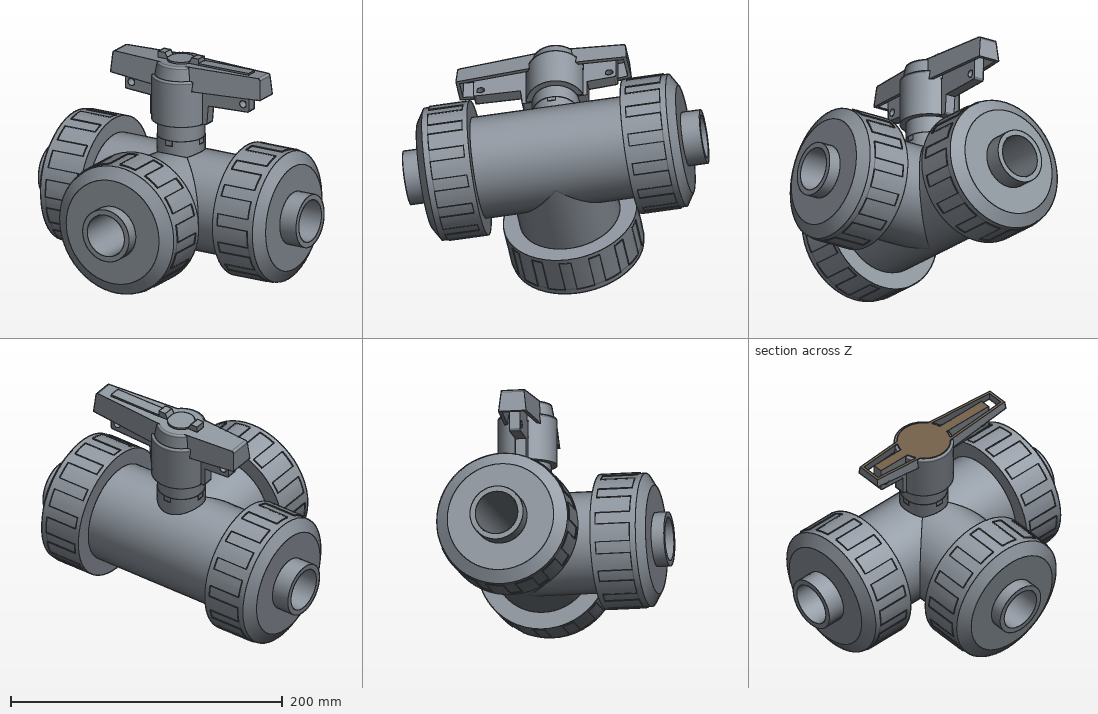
import cadquery as cq
import math

OVERLAP = 2.2

PIPE_RADIUS = 37.5
BORE_RADIUS = 16.0
TAIL_RADIUS = 20.0
RUN_REACH = 111.0
BRANCH_REACH = 106.5

NUT_RADIUS = 50.0
NUT_INNER_END = 57.3
NUT_OUTER_END = 97.0
NUT_FACE_RADIUS = 40.0
NUT_CHAMFER_LENGTH = 5.8
GROOVE_DEPTH = 0.78
GROOVE_START = 61.0
RIB_END = 86.8
RIB_COUNT = 14
RIB_PITCH = 360 / RIB_COUNT
RIB_ANGLE = 0.6 * RIB_PITCH

STEM_RADIUS = 17.5
STEM_TOP = 78.0
NECK_RADIUS = 17.8
NECK_TOP = 47.7
NOTCH_WIDTH = 5.8
NOTCH_HEIGHT = 4.0
NOTCH_DEPTH = 0.5

HUB_RADIUS = 43.7 / 2
HUB_BOTTOM = 60.4
HUB_TOP = 95.2
HUB_FILLET = 1.5
CAP_BASE_RADIUS = 19.8
CAP_TOP_RADIUS = 17.8
SLOT_WIDTH = 10.0

GRIP_TOP = 105.7
GRIP_END_BOTTOM = 89.5
GRIP_HUB_BOTTOM = 87.7
GRIP_LEFT = 54.8
GRIP_RIGHT = 73.3
GRIP_HALF_WIDTH = 14.9
GRIP_NARROWING = 0.078
GRIP_SIDE_DRAFT = 7.0
GRIP_END_DRAFT = 4.0
GRIP_WALL = 2.5
UNDERSIDE_BREAK = 17.3
TOP_FILLET = 1.8

WEB_THICKNESS = 8.0
WEB_LEFT = 45.7
WEB_RIGHT = 60.5
WEB_END_BOTTOM = 76.5
WEB_STEP_BOTTOM = 75.3
WEB_FOOT_LEFT = 24.2
WEB_FOOT_RIGHT = 24.5
WEB_STEP_RIGHT = 25.8
WEB_FILLET = 1.3
HOLE_RADIUS = 5.5 / 2
HOLE_HEIGHT = 82.1
HOLE_END_DISTANCE = 5.0

DISC_RADIUS = 10.2
MARK_HEIGHT = 1.3
MARK_WIDTH = 8.7
LUG_WIDTH = 8.2
LUG_TOP = 110.3
LUG_OUTER = 17.3
LUG_INNER_TOP = 11.5
LUG_INNER_BASE = 8.9


def vertical_cylinder(radius, bottom, top):
    return cq.Workplane("XY").workplane(offset=bottom).circle(radius).extrude(top - bottom)


def along_minus_x(radius, start, end):
    return cq.Workplane("YZ").workplane(offset=-end).circle(radius).extrude(end - start)


def side_profile(points, width):
    return cq.Workplane("XZ").polyline(points).close().extrude(width / 2, both=True)


def make_groove():
    """Sector cutter for the first groove after the rib that starts at +Z and leans to -Y."""
    middle = math.radians(RIB_ANGLE + (RIB_PITCH - RIB_ANGLE) / 2)
    half = math.radians((RIB_PITCH - RIB_ANGLE) / 2)
    floor = NUT_RADIUS - GROOVE_DEPTH
    rim = NUT_RADIUS + OVERLAP

    def at(radius, angle):
        return (-radius * math.sin(angle), radius * math.cos(angle))

    return (
        cq.Workplane("YZ")
        .workplane(offset=-RIB_END)
        .moveTo(*at(floor, middle - half))
        .threePointArc(at(floor, middle), at(floor, middle + half))
        .lineTo(*at(rim, middle + half))
        .threePointArc(at(rim, middle), at(rim, middle - half))
        .close()
        .extrude(RIB_END - GROOVE_START)
    )


def make_nut():
    land_radius = NUT_RADIUS - GROOVE_DEPTH
    chamfer_start = NUT_OUTER_END - NUT_CHAMFER_LENGTH
    profile = [
        (-NUT_INNER_END, 0),
        (-NUT_INNER_END, NUT_RADIUS),
        (-RIB_END, NUT_RADIUS),
        (-RIB_END, land_radius),
        (-chamfer_start, land_radius),
        (-NUT_OUTER_END, NUT_FACE_RADIUS),
        (-NUT_OUTER_END, 0),
    ]
    nut = cq.Workplane("XY").polyline(profile).close().revolve(360, (0, 0, 0), (1, 0, 0))
    groove = make_groove()
    for index in range(RIB_COUNT):
        nut = nut.cut(groove.rotate((0, 0, 0), (1, 0, 0), index * RIB_PITCH))
    return nut


def make_body():
    nut = make_nut()
    body = vertical_cylinder(NECK_RADIUS, 0, NECK_TOP)
    ports = [(0, RUN_REACH), (90, BRANCH_REACH), (180, RUN_REACH)]
    for turn, reach in ports:
        port = along_minus_x(PIPE_RADIUS, 0, NUT_INNER_END + OVERLAP)
        port = port.union(nut).union(along_minus_x(TAIL_RADIUS, NUT_INNER_END, reach))
        body = body.union(port.rotate((0, 0, 0), (0, 0, 1), turn))
    for turn, reach in ports:
        bore = along_minus_x(BORE_RADIUS, 0, reach)
        body = body.cut(bore.rotate((0, 0, 0), (0, 0, 1), turn))
    notch = cq.Workplane("XY").box(2 * NOTCH_DEPTH, NOTCH_WIDTH, NOTCH_HEIGHT)
    notch = notch.translate((-NECK_RADIUS, 0, NECK_TOP - NOTCH_HEIGHT / 2))
    for turn in range(0, 360, 90):
        body = body.cut(notch.rotate((0, 0, 0), (0, 0, 1), turn))
    return body


def grip_outline(side_inset, end_inset):
    """Corners of the grip outline, moved in across its width and along its length."""
    left = GRIP_LEFT - end_inset
    right = GRIP_RIGHT - end_inset
    middle_half = GRIP_HALF_WIDTH - side_inset
    left_half = middle_half - GRIP_NARROWING * left
    right_half = middle_half - GRIP_NARROWING * right
    return [
        (-left, -left_half),
        (0, -middle_half),
        (right, -right_half),
        (right, right_half),
        (0, middle_half),
        (-left, left_half),
    ]


def make_grip_block(inset, top):
    """Drafted block of the grip outline, moved in by the inset on every side."""
    height = top - GRIP_HUB_BOTTOM
    side_lean = height * math.tan(math.radians(GRIP_SIDE_DRAFT))
    end_lean = height * math.tan(math.radians(GRIP_END_DRAFT))
    return (
        cq.Workplane("XY")
        .workplane(offset=GRIP_HUB_BOTTOM)
        .polyline(grip_outline(inset, inset))
        .close()
        .workplane(offset=height)
        .polyline(grip_outline(inset + side_lean, inset + end_lean))
        .close()
        .loft(ruled=True)
    )


def make_grip():
    grip = make_grip_block(0, GRIP_TOP).faces(">Z").edges("|Y").fillet(TOP_FILLET)
    grip = grip.cut(make_grip_block(GRIP_WALL, GRIP_TOP - GRIP_WALL))
    for end in (-GRIP_LEFT, GRIP_RIGHT):
        hub_edge = math.copysign(UNDERSIDE_BREAK, end)
        wedge = [(hub_edge, GRIP_HUB_BOTTOM), (end, GRIP_END_BOTTOM), (end, GRIP_HUB_BOTTOM)]
        grip = grip.cut(side_profile(wedge, 2 * HUB_RADIUS))
    return grip


def make_cap():
    cap = (
        cq.Workplane("XY")
        .workplane(offset=HUB_TOP)
        .circle(CAP_BASE_RADIUS)
        .workplane(offset=GRIP_TOP - HUB_TOP)
        .circle(CAP_TOP_RADIUS)
        .loft()
    )
    return cap.faces(">Z").edges().fillet(TOP_FILLET)


def make_web():
    web_top = GRIP_TOP - GRIP_WALL
    outline = [
        (-WEB_LEFT, web_top),
        (-WEB_LEFT, WEB_END_BOTTOM),
        (-WEB_FOOT_LEFT, WEB_STEP_BOTTOM),
        (-WEB_FOOT_LEFT, HUB_BOTTOM),
        (WEB_FOOT_RIGHT, HUB_BOTTOM),
        (WEB_STEP_RIGHT, WEB_STEP_BOTTOM),
        (WEB_RIGHT, WEB_END_BOTTOM),
        (WEB_RIGHT, web_top),
    ]
    web = side_profile(outline, WEB_THICKNESS)
    rounded_corners = [outline[1], outline[3], outline[4], outline[6]]
    for x, z in rounded_corners:
        web = web.edges(cq.NearestToPointSelector((x, 0, z))).fillet(WEB_FILLET)
    hole_centers = [
        (HOLE_END_DISTANCE - WEB_LEFT, HOLE_HEIGHT),
        (WEB_RIGHT - HOLE_END_DISTANCE, HOLE_HEIGHT),
    ]
    holes = cq.Workplane("XZ").pushPoints(hole_centers).circle(HOLE_RADIUS)
    return web.cut(holes.extrude(WEB_THICKNESS, both=True))


def make_hub():
    hub = vertical_cylinder(HUB_RADIUS, HUB_BOTTOM, HUB_TOP).faces(">Z").edges().fillet(HUB_FILLET)
    slot_height = GRIP_END_BOTTOM - HUB_BOTTOM
    slot = cq.Workplane("XY").box(2 * HUB_RADIUS, SLOT_WIDTH, slot_height)
    return hub.cut(slot.translate((0, 0, HUB_BOTTOM + slot_height / 2)))


def make_marks():
    mark_top = GRIP_TOP + MARK_HEIGHT
    marks = vertical_cylinder(DISC_RADIUS, GRIP_TOP, mark_top)
    strip = [(LUG_OUTER, GRIP_TOP), (WEB_RIGHT, GRIP_TOP), (WEB_RIGHT, mark_top), (LUG_OUTER, mark_top)]
    marks = marks.union(side_profile(strip, MARK_WIDTH))
    for side in (-1, 1):
        lug = [
            (side * LUG_OUTER, GRIP_TOP),
            (side * LUG_OUTER, LUG_TOP),
            (side * LUG_INNER_TOP, LUG_TOP),
            (side * LUG_INNER_BASE, GRIP_TOP),
        ]
        marks = marks.union(side_profile(lug, LUG_WIDTH))
    return marks


stem = vertical_cylinder(STEM_RADIUS, NECK_TOP, STEM_TOP)
handle = make_hub().union(make_cap()).union(make_grip()).union(make_web()).union(make_marks())
result = make_body().union(stem).union(handle)